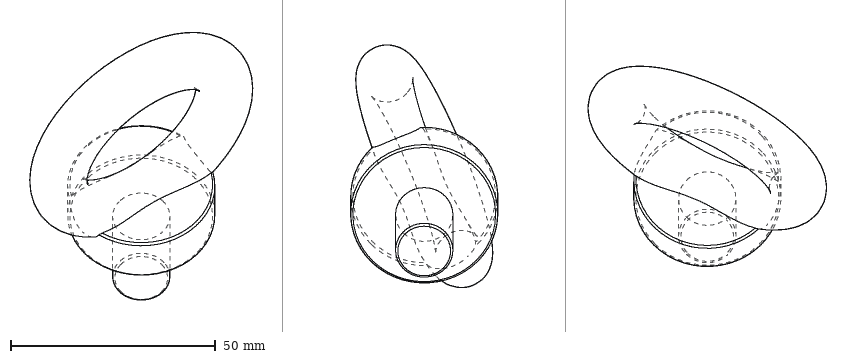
import cadquery as cq

total_height = 92.0
ring_outer_diameter = 62.9
bar_diameter = 14.0
shank_diameter = 14.0
shank_length = 26.0
collar_diameter = 36.0
collar_height = 13.5
edge_chamfer = 0.55

ring_center_z = total_height - ring_outer_diameter / 2
ring_path_radius = (ring_outer_diameter - bar_diameter) / 2


def make_shank():
    """Plain round shank with a chamfered tip, reaching up to the collar."""
    shank = cq.Workplane("XY").circle(shank_diameter / 2).extrude(shank_length)
    return shank.faces("<Z").chamfer(edge_chamfer)


def make_collar():
    """Round collar with both rims chamfered."""
    collar = cq.Workplane("XY").workplane(offset=shank_length)
    collar = collar.circle(collar_diameter / 2).extrude(collar_height)
    return collar.faces("<Z or >Z").chamfer(edge_chamfer)


def make_ring():
    """Lifting ring: a torus standing in the YZ plane, its axis along X."""
    ring = cq.Solid.makeTorus(
        ring_path_radius,
        bar_diameter / 2,
        cq.Vector(0, 0, ring_center_z),
        cq.Vector(1, 0, 0),
    )
    return cq.Workplane(obj=ring)


result = make_collar().union(make_shank()).union(make_ring())